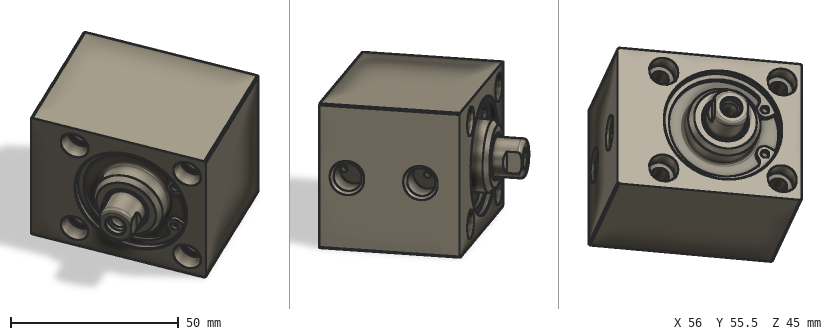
import cadquery as cq
import math


BLOCK_LENGTH = 56.0
BLOCK_HEIGHT = 45.0
BLOCK_DEPTH = 43.0
BLOCK_LEFT_X = -32.0
BLOCK_EDGE_CHAMFER = 0.5

MOUNT_HALF_SPACING_X = 18.0
MOUNT_HALF_SPACING_Z = 16.0
MOUNT_HOLE_DIAMETER = 5.3
MOUNT_COUNTERBORE_DIAMETER = 8.8
MOUNT_COUNTERBORE_DEPTH = 5.5

PORT_DIAMETER = 8.57
PORT_MOUTH_DIAMETER = 10.6
PORT_DEPTH = 9.0
FRONT_PORT_Y = 12.0
REAR_PORT_Y = 34.5
OIL_HOLE_DIAMETER = 2.0
OIL_HOLE_LENGTH = 4.0
REAR_OIL_HOLE_SHIFT = 3.0

SEAT_DIAMETER = 35.5
SEAT_MOUTH_CHAMFER = 0.25
SEAT_DEPTH = 10.0
GROOVE_DIAMETER = 37.3
RING_THICKNESS = 1.5
RING_FRONT_Y = 2.0
BUSH_FACE_Y = RING_FRONT_Y + RING_THICKNESS

RING_INNER_RADIUS = 16.0
EAR_RADIUS = 2.55
EAR_HOLE_DIAMETER = 2.5
EAR_HOLE_PITCH_RADIUS = 15.1
EAR_HOLE_ANGLE = 29.0
EAR_RELIEF_RADIUS = 2.0

BUSH_EDGE_CHAMFER = 0.25
COLLAR_DIAMETER = 22.0
COLLAR_LENGTH = 3.7
COLLAR_CHAMFER_LENGTH = 1.7
COLLAR_TIP_DIAMETER = 19.0
COLLAR_ROOT_FILLET = 0.9
WIPER_SEAT_DIAMETER = 14.0
WIPER_MOUTH_CHAMFER = 0.15
WIPER_ROOT_DIAMETER = 13.7
WIPER_LIP_OUTER_DIAMETER = 13.1
WIPER_LIP_INNER_DIAMETER = 12.54
WIPER_DEPTH = 0.8
WIPER_LIP_SETBACK = 0.1

ROD_DIAMETER = 12.0
ROD_REACH = 12.5
ROD_TIP_FILLET = 1.25
FLAT_WIDTH = 10.0
FLAT_LENGTH = 4.5
THREAD_CORE_DIAMETER = 4.92
THREAD_DEPTH = 10.0
THREAD_RELIEF_DIAMETER = 6.25
THREAD_RELIEF_DEPTH = 2.0
THREAD_MOUTH_CHAMFER = 0.2


def cylinder_y(diameter, start_y, end_y, x=0.0, z=0.0):
    """Cylinder along Y between two depths."""
    return cq.Workplane(
        cq.Solid.makeCylinder(diameter / 2, end_y - start_y, cq.Vector(x, start_y, z), cq.Vector(0, 1, 0))
    )


def revolve_about_y(points):
    """Solid of revolution about the Y axis from (radius, y) points."""
    return cq.Workplane("XY").polyline(points).close().revolve(360, (0, 0, 0), (0, 1, 0))


def make_port(port_y, oil_hole_y):
    """Cutter for one countersunk port with its oil hole."""
    mouth_chamfer = (PORT_MOUTH_DIAMETER - PORT_DIAMETER) / 2
    side = cq.Workplane("YZ", origin=(BLOCK_LEFT_X, 0, 0))
    mouth = (
        side.center(port_y, 0)
        .circle(PORT_MOUTH_DIAMETER / 2)
        .workplane(offset=mouth_chamfer)
        .circle(PORT_DIAMETER / 2)
        .loft()
    )
    bore = side.center(port_y, 0).circle(PORT_DIAMETER / 2).extrude(PORT_DEPTH)
    oil_hole = side.center(oil_hole_y, 0).circle(OIL_HOLE_DIAMETER / 2).extrude(PORT_DEPTH + OIL_HOLE_LENGTH)
    return mouth.union(bore).union(oil_hole)


def make_housing():
    block = (
        cq.Workplane("XY")
        .box(BLOCK_LENGTH, BLOCK_DEPTH, BLOCK_HEIGHT)
        .edges("|Y")
        .chamfer(BLOCK_EDGE_CHAMFER)
        .translate((BLOCK_LEFT_X + BLOCK_LENGTH / 2, BLOCK_DEPTH / 2, 0))
    )

    for x in (-MOUNT_HALF_SPACING_X, MOUNT_HALF_SPACING_X):
        for z in (-MOUNT_HALF_SPACING_Z, MOUNT_HALF_SPACING_Z):
            block = block.cut(cylinder_y(MOUNT_HOLE_DIAMETER, 0, BLOCK_DEPTH, x, z))
            block = block.cut(cylinder_y(MOUNT_COUNTERBORE_DIAMETER, 0, MOUNT_COUNTERBORE_DEPTH, x, z))

    block = block.cut(make_port(FRONT_PORT_Y, FRONT_PORT_Y))
    block = block.cut(make_port(REAR_PORT_Y, REAR_PORT_Y + REAR_OIL_HOLE_SHIFT))

    seat_radius = SEAT_DIAMETER / 2
    seat = revolve_about_y(
        [
            (0, 0),
            (seat_radius + SEAT_MOUTH_CHAMFER, 0),
            (seat_radius, SEAT_MOUTH_CHAMFER),
            (seat_radius, SEAT_DEPTH),
            (0, SEAT_DEPTH),
        ]
    )
    groove = cylinder_y(GROOVE_DIAMETER, RING_FRONT_Y, BUSH_FACE_Y)
    return block.cut(seat).cut(groove)


def make_snap_ring():
    """Open ring whose two ears with plier holes face +X."""
    outer_radius = GROOVE_DIAMETER / 2
    ear_angle = math.radians(EAR_HOLE_ANGLE)

    def upper(radial, across):
        """Point of the upper ear, given along and across the line from the axis to its hole."""
        x = radial * math.cos(ear_angle) - across * math.sin(ear_angle)
        z = radial * math.sin(ear_angle) + across * math.cos(ear_angle)
        return (x, z)

    def mirrored(point):
        return (point[0], -point[1])

    relief_distance = RING_INNER_RADIUS - EAR_RELIEF_RADIUS
    ear_to_relief = EAR_RADIUS + EAR_RELIEF_RADIUS
    relief_turn = math.acos(
        (EAR_HOLE_PITCH_RADIUS**2 + relief_distance**2 - ear_to_relief**2)
        / (2 * EAR_HOLE_PITCH_RADIUS * relief_distance)
    )
    relief_radial = relief_distance * math.cos(relief_turn)
    relief_across = relief_distance * math.sin(relief_turn)
    toward_relief = math.atan2(relief_across, relief_radial - EAR_HOLE_PITCH_RADIUS)
    ear_middle = (toward_relief + 3 * math.pi / 2) / 2
    relief_middle = (toward_relief - math.pi + relief_turn) / 2

    def on_ear(angle):
        return upper(EAR_HOLE_PITCH_RADIUS + EAR_RADIUS * math.cos(angle), EAR_RADIUS * math.sin(angle))

    def on_relief(angle):
        return upper(
            relief_radial + EAR_RELIEF_RADIUS * math.cos(angle),
            relief_across + EAR_RELIEF_RADIUS * math.sin(angle),
        )

    ring_end = upper(math.sqrt(outer_radius**2 - EAR_RADIUS**2), -EAR_RADIUS)
    ear_start = upper(EAR_HOLE_PITCH_RADIUS, -EAR_RADIUS)
    ear_end = on_ear(toward_relief)
    relief_end = on_relief(relief_turn)

    ring = (
        cq.Workplane("XZ", origin=(0, BUSH_FACE_Y, 0))
        .moveTo(*ring_end)
        .lineTo(*ear_start)
        .threePointArc(on_ear(ear_middle), ear_end)
        .threePointArc(on_relief(relief_middle), relief_end)
        .threePointArc((-RING_INNER_RADIUS, 0), mirrored(relief_end))
        .threePointArc(mirrored(on_relief(relief_middle)), mirrored(ear_end))
        .threePointArc(mirrored(on_ear(ear_middle)), mirrored(ear_start))
        .lineTo(*mirrored(ring_end))
        .threePointArc((-outer_radius, 0), ring_end)
        .close()
        .extrude(RING_THICKNESS)
    )
    hole_center = upper(EAR_HOLE_PITCH_RADIUS, 0)
    for x, z in (hole_center, mirrored(hole_center)):
        ring = ring.cut(cylinder_y(EAR_HOLE_DIAMETER, RING_FRONT_Y, BUSH_FACE_Y, x, z))
    return ring


def make_guide_bush():
    """Guide bush carrying the snap ring that locks it in the housing."""
    bush_radius = SEAT_DIAMETER / 2
    collar_radius = COLLAR_DIAMETER / 2
    collar_tip_y = -COLLAR_LENGTH
    fillet_offset = COLLAR_ROOT_FILLET * (1 - math.sqrt(0.5))
    body = (
        cq.Workplane("XY")
        .moveTo(0, SEAT_DEPTH)
        .lineTo(bush_radius, SEAT_DEPTH)
        .lineTo(bush_radius, BUSH_FACE_Y + BUSH_EDGE_CHAMFER)
        .lineTo(bush_radius - BUSH_EDGE_CHAMFER, BUSH_FACE_Y)
        .lineTo(collar_radius + COLLAR_ROOT_FILLET, BUSH_FACE_Y)
        .threePointArc(
            (collar_radius + fillet_offset, BUSH_FACE_Y - fillet_offset),
            (collar_radius, BUSH_FACE_Y - COLLAR_ROOT_FILLET),
        )
        .lineTo(collar_radius, collar_tip_y + COLLAR_CHAMFER_LENGTH)
        .lineTo(COLLAR_TIP_DIAMETER / 2, collar_tip_y)
        .lineTo(0, collar_tip_y)
        .close()
        .revolve(360, (0, 0, 0), (0, 1, 0))
    )
    rod_radius = ROD_DIAMETER / 2
    wiper_seat_radius = WIPER_SEAT_DIAMETER / 2
    wiper_floor_y = collar_tip_y + WIPER_DEPTH
    wiper_lip_y = collar_tip_y + WIPER_LIP_SETBACK
    rod_passage = revolve_about_y(
        [
            (0, collar_tip_y),
            (wiper_seat_radius + WIPER_MOUTH_CHAMFER, collar_tip_y),
            (wiper_seat_radius, collar_tip_y + WIPER_MOUTH_CHAMFER),
            (wiper_seat_radius, wiper_floor_y),
            (WIPER_ROOT_DIAMETER / 2, wiper_floor_y),
            (WIPER_LIP_OUTER_DIAMETER / 2, wiper_lip_y),
            (WIPER_LIP_INNER_DIAMETER / 2, wiper_lip_y),
            (rod_radius, wiper_floor_y),
            (rod_radius, SEAT_DEPTH),
            (0, SEAT_DEPTH),
        ]
    )
    return body.cut(rod_passage).union(make_snap_ring())


def make_piston_rod():
    tip_y = -ROD_REACH
    rod = cylinder_y(ROD_DIAMETER, tip_y, SEAT_DEPTH).faces("<Y").edges().fillet(ROD_TIP_FILLET)

    rod_radius = ROD_DIAMETER / 2
    flat_depth = rod_radius - FLAT_WIDTH / 2
    for side in (-1, 1):
        flat = (
            cq.Workplane("XY")
            .polyline(
                [
                    (side * FLAT_WIDTH / 2, tip_y),
                    (side * rod_radius, tip_y),
                    (side * rod_radius, tip_y + FLAT_LENGTH + flat_depth),
                    (side * FLAT_WIDTH / 2, tip_y + FLAT_LENGTH),
                ]
            )
            .close()
            .extrude(rod_radius, both=True)
        )
        rod = rod.cut(flat)

    core_radius = THREAD_CORE_DIAMETER / 2
    relief_radius = THREAD_RELIEF_DIAMETER / 2
    relief_end_y = tip_y + THREAD_RELIEF_DEPTH
    threaded_hole = revolve_about_y(
        [
            (0, tip_y),
            (relief_radius + THREAD_MOUTH_CHAMFER, tip_y),
            (relief_radius, tip_y + THREAD_MOUTH_CHAMFER),
            (relief_radius, relief_end_y),
            (core_radius, relief_end_y + relief_radius - core_radius),
            (core_radius, tip_y + THREAD_DEPTH),
            (0, tip_y + THREAD_DEPTH),
        ]
    )
    return rod.cut(threaded_hole)


housing = make_housing()
guide_bush = make_guide_bush()
piston_rod = make_piston_rod()

result = cq.Compound.makeCompound([housing.val(), guide_bush.val(), piston_rod.val()])